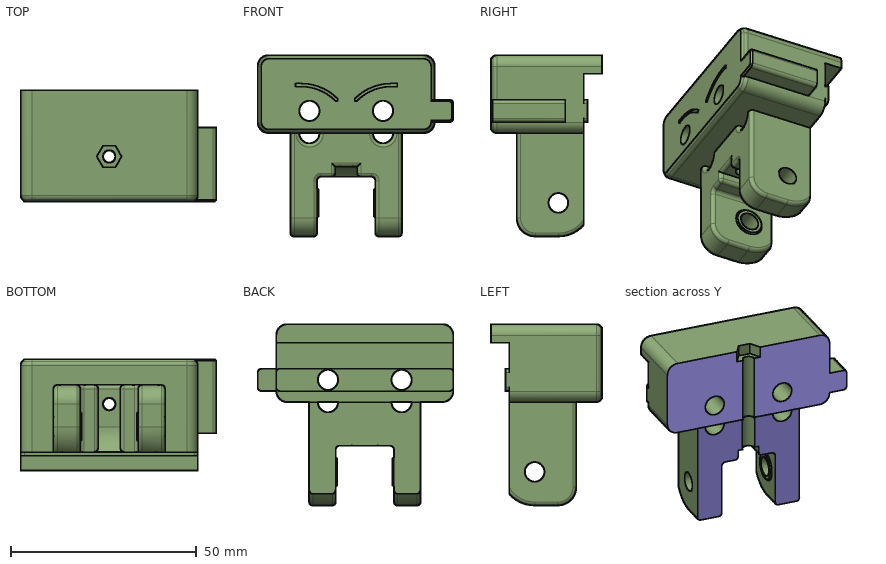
import cadquery as cq
import math


TOLERANCE = 0.005
SMALL_RADIUS = 1.0

TOTAL_WIDTH = 52.7
TOTAL_DEPTH = 30.0
TAB_LENGTH = 5.0
CASE_WIDTH = TOTAL_WIDTH - TAB_LENGTH
CASE_HEIGHT = 21.05
LID_OVERHANG = 4.95
LID_THICKNESS = 5.05
CASE_DEPTH = TOTAL_DEPTH - LID_OVERHANG
CASE_CORNER_RADIUS = 3.0
FACE_CHAMFER = 1.0
FACE_ROUND_RADIUS = 1.55

TAB_HEIGHT = 6.0
TAB_DEPTH = 19.95
TAB_CHAMFER = 0.5
TONGUE_DEPTH = 1.0

EYE_DIAMETER = 5.4
EYE_X = 9.9
EYE_Z = 6.0

BROW_WIDTH = 0.85
BROW_DEPTH = 0.4
BROW_RADIUS = 13.4
BROW_SWEEP = 45.0
BROW_OUTER_X = 13.75
BROW_ARC_X = 12.1
BROW_Z = 12.95

SCREW_Y = -12.9
NUT_SIDES = 6
NUT_FLATS = 5.8
NUT_DEPTH = 3.0
CASE_SCREW_DIAMETER = 3.2
BRACKET_SCREW_DIAMETER = 3.4

TOTAL_HEIGHT = 48.85
BRACKET_HEIGHT = TOTAL_HEIGHT - CASE_HEIGHT
BRACKET_WIDTH = 30.05
BRACKET_DEPTH = 18.1
FORK_GAP = 15.6
CROSSBAR_HEIGHT = 11.75
LEG_FRONT_RADIUS = 5.0
PIVOT_Y = -6.85
PIVOT_RADIUS = 9.05
PIVOT_Z = PIVOT_RADIUS - BRACKET_HEIGHT
PIVOT_DIAMETER = 5.2
BOSS_DIAMETER = 7.85
BOSS_HEIGHT = 0.35
RELIEF_WIDTH = 5.95
RELIEF_RADIUS = 9.75


def block(x_range, y_range, z_range):
    """Box between the given limits."""
    sizes = [high - low for low, high in (x_range, y_range, z_range)]
    corner = (x_range[0], y_range[0], z_range[0])
    return cq.Workplane("XY").box(*sizes, centered=False).translate(corner)


def rod_y(x, z, diameter, front, rear):
    """Cylinder along Y."""
    solid = cq.Solid.makeCylinder(diameter / 2, rear - front, cq.Vector(x, front, z), cq.Vector(0, 1, 0))
    return cq.Workplane(obj=solid)


def rod_z(y, diameter, bottom, top):
    """Cylinder along Z on the mirror plane."""
    solid = cq.Solid.makeCylinder(diameter / 2, top - bottom, cq.Vector(0, y, bottom))
    return cq.Workplane(obj=solid)


def case_shell():
    """Rounded block with the lid overhang and the softened front edge."""
    half = CASE_WIDTH / 2
    shell = block((-half, half), (-CASE_DEPTH, LID_OVERHANG), (0, CASE_HEIGHT))
    shell = shell.edges("|Y").fillet(CASE_CORNER_RADIUS)
    shell = shell.faces("<Y").chamfer(FACE_CHAMFER)
    rim_y = FACE_CHAMFER - CASE_DEPTH
    chamfer_rim = cq.selectors.BoxSelector(
        (-TOTAL_WIDTH, rim_y - TOLERANCE, -TOTAL_WIDTH),
        (TOTAL_WIDTH, rim_y + TOLERANCE, TOTAL_WIDTH),
        boundingbox=True,
    )
    shell = shell.edges(chamfer_rim).fillet(FACE_ROUND_RADIUS)
    return shell.cut(block((-half, half), (0, LID_OVERHANG), (0, CASE_HEIGHT - LID_THICKNESS)))


def side_tab():
    """Tab on the +X side, flush with the front face."""
    right = CASE_WIDTH / 2 + TAB_LENGTH
    bottom = EYE_Z - TAB_HEIGHT / 2
    tab = block((0, right), (-CASE_DEPTH, TAB_DEPTH - CASE_DEPTH), (bottom, bottom + TAB_HEIGHT))
    tab = tab.edges("|Y and >X").fillet(SMALL_RADIUS)
    return tab.faces("<Y").edges("not <X").chamfer(TAB_CHAMFER)


def rear_tongue():
    """Raised strip across the rear face."""
    half = CASE_WIDTH / 2
    bottom = EYE_Z - TAB_HEIGHT / 2
    tongue = block((-half, half), (-TONGUE_DEPTH, TONGUE_DEPTH), (bottom, bottom + TAB_HEIGHT))
    return tongue.edges("|Y").fillet(SMALL_RADIUS)


def brow_groove(side):
    """Curved groove above one eye; its outer end is round on -X and square on +X."""
    radius = BROW_WIDTH / 2
    outer_end = BROW_OUTER_X - (radius if side < 0 else 0)
    arc_center_z = BROW_Z - BROW_RADIUS

    def arc_point(angle, offset):
        turn = math.radians(angle)
        reach = BROW_RADIUS + offset
        return side * (BROW_ARC_X - reach * math.sin(turn)), arc_center_z + reach * math.cos(turn)

    outline = (
        cq.Workplane("XZ", origin=(0, -CASE_DEPTH, 0))
        .moveTo(side * outer_end, BROW_Z + radius)
        .lineTo(*arc_point(0, radius))
        .threePointArc(arc_point(BROW_SWEEP / 2, radius), arc_point(BROW_SWEEP, radius))
        .lineTo(*arc_point(BROW_SWEEP, -radius))
        .threePointArc(arc_point(BROW_SWEEP / 2, -radius), arc_point(0, -radius))
        .lineTo(side * outer_end, BROW_Z - radius)
        .close()
    )
    floor_y = BROW_DEPTH - CASE_DEPTH
    groove = outline.extrude(-BROW_DEPTH)
    groove = groove.union(rod_y(*arc_point(BROW_SWEEP, 0), BROW_WIDTH, -CASE_DEPTH, floor_y))
    if side < 0:
        groove = groove.union(rod_y(side * outer_end, BROW_Z, BROW_WIDTH, -CASE_DEPTH, floor_y))
    return groove


def nut_pocket():
    """Hexagonal pocket in the top, with corners pointing along X."""
    corner_diameter = NUT_FLATS / math.cos(math.pi / NUT_SIDES)
    top = cq.Workplane("XY", origin=(0, SCREW_Y, CASE_HEIGHT))
    return top.polygon(NUT_SIDES, corner_diameter).extrude(-NUT_DEPTH)


def make_case():
    """Solid case with eye holes, brow grooves and the nut seat of the vertical screw."""
    case = case_shell().union(side_tab()).union(rear_tongue())
    for side in (-1, 1):
        case = case.cut(rod_y(side * EYE_X, EYE_Z, EYE_DIAMETER, -CASE_DEPTH, LID_OVERHANG))
        case = case.cut(brow_groove(side))
    case = case.cut(nut_pocket())
    return case.cut(rod_z(SCREW_Y, CASE_SCREW_DIAMETER, 0, CASE_HEIGHT))


def leg_profile():
    """Side profile of the bracket: round front foot, pivot-centred arc at the rear."""
    rear_z = PIVOT_Z - math.sqrt(PIVOT_RADIUS**2 - PIVOT_Y**2)
    middle_turn = math.atan2(PIVOT_Z - rear_z, -PIVOT_Y) / 2 + math.pi / 4
    arc_middle = (
        PIVOT_Y + PIVOT_RADIUS * math.cos(middle_turn),
        PIVOT_Z - PIVOT_RADIUS * math.sin(middle_turn),
    )
    return (
        cq.Workplane("YZ", origin=(-BRACKET_WIDTH / 2, 0, 0))
        .moveTo(0, 0)
        .lineTo(0, rear_z)
        .threePointArc(arc_middle, (PIVOT_Y, -BRACKET_HEIGHT))
        .lineTo(LEG_FRONT_RADIUS - BRACKET_DEPTH, -BRACKET_HEIGHT)
        .radiusArc((-BRACKET_DEPTH, LEG_FRONT_RADIUS - BRACKET_HEIGHT), LEG_FRONT_RADIUS)
        .lineTo(-BRACKET_DEPTH, 0)
        .close()
        .extrude(BRACKET_WIDTH)
    )


def fork():
    """Two legs joined by the crossbar, with half-round grooves along the top."""
    half_gap = FORK_GAP / 2
    gap = block((-half_gap, half_gap), (-BRACKET_DEPTH, 0), (-BRACKET_HEIGHT, -CROSSBAR_HEIGHT))
    gap = gap.edges("|Y and >Z").fillet(SMALL_RADIUS)
    body = leg_profile().cut(gap)
    for side in (-1, 1):
        body = body.cut(rod_y(side * EYE_X, 0, EYE_DIAMETER, -BRACKET_DEPTH, 0))
    return body


def relief_slot():
    """Slot under the crossbar: flat ceiling at the front, then an arc about the pivot axis."""
    half = RELIEF_WIDTH / 2
    bottom = -CROSSBAR_HEIGHT
    front = block((-half, half), (-BRACKET_DEPTH, PIVOT_Y), (bottom, PIVOT_Z + RELIEF_RADIUS))
    sweep = cq.Workplane("YZ", origin=(-half, PIVOT_Y, PIVOT_Z)).circle(RELIEF_RADIUS).extrude(RELIEF_WIDTH)
    rear = sweep.intersect(block((-half, half), (PIVOT_Y, 0), (bottom, 0)))
    return front.union(rear)


def pivot_boss(side):
    """Conical raised ring on the inner side of one leg."""
    base_radius = BOSS_DIAMETER / 2
    start = cq.Vector(side * FORK_GAP / 2, PIVOT_Y, PIVOT_Z)
    inward = cq.Vector(-side, 0, 0)
    cone = cq.Solid.makeCone(base_radius, base_radius - BOSS_HEIGHT, BOSS_HEIGHT, start, inward)
    return cq.Workplane(obj=cone)


def soften_edges(body):
    """Round the front edges, except along the top, and the lower side edges of the relief slot."""
    half_relief = RELIEF_WIDTH / 2
    relief_rim = cq.selectors.BoxSelector(
        (-half_relief - TOLERANCE, -BRACKET_DEPTH, -CROSSBAR_HEIGHT - TOLERANCE),
        (half_relief + TOLERANCE, 0, -CROSSBAR_HEIGHT + TOLERANCE),
    )
    front_edges = body.faces("<Y").edges("not >Z")
    rim_edges = body.edges("|Y").edges(relief_rim)
    return front_edges.add(rim_edges).fillet(SMALL_RADIUS)


def make_bracket():
    """Fork with pivot bosses, pivot bore and screw clearance hole."""
    body = soften_edges(fork().cut(relief_slot()))
    for side in (-1, 1):
        body = body.union(pivot_boss(side))
    pivot_bore = cq.Workplane("YZ", origin=(0, PIVOT_Y, PIVOT_Z)).circle(PIVOT_DIAMETER / 2)
    body = body.cut(pivot_bore.extrude(BRACKET_WIDTH / 2, both=True))
    return body.cut(rod_z(SCREW_Y, BRACKET_SCREW_DIAMETER, -CROSSBAR_HEIGHT, 0))


case = make_case()
bracket = make_bracket()

result = cq.Compound.makeCompound([case.val(), bracket.val()])